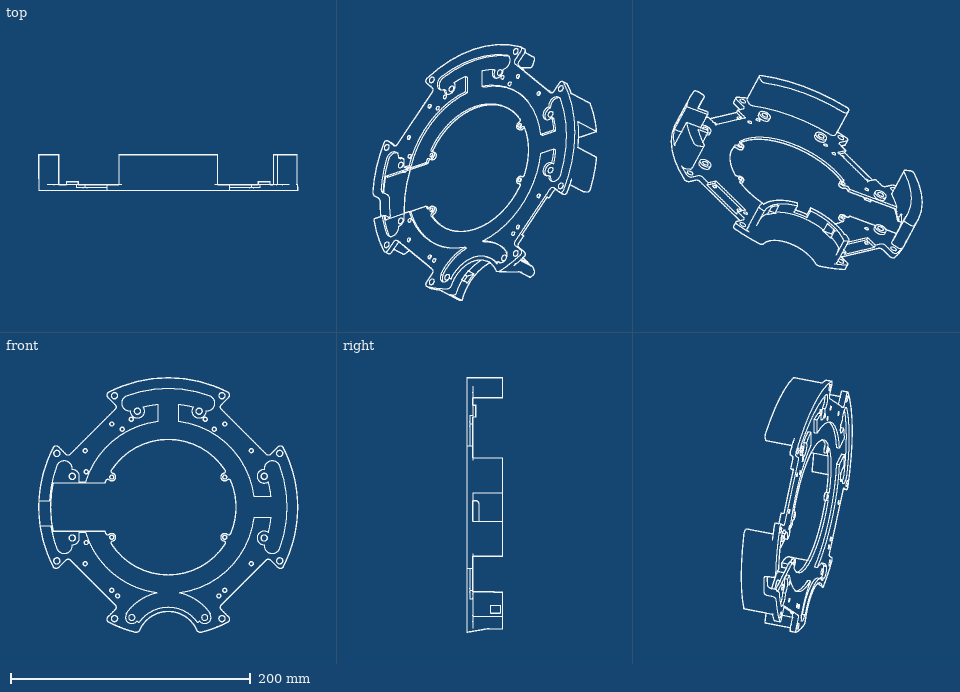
import cadquery as cq
import math

OUTER_RADIUS = 108.0
BORE_RADIUS = 56.4
PLATE_THICKNESS = 5.0
TOTAL_DEPTH = 30.0
EPS = 1.0
DIAGONALS = (45, 135, 225, 315)

CORNER_DISTANCE = 89.0
CORNER_HALF_LENGTH = 29.1
CORNER_FILLET = 2.75

REBATE_HALF_LENGTH = 19.0
REBATE_WIDTH = 10.0
REBATE_DEPTH = 2.5

TAB_X = 47.1
TAB_Z = 25.1
TAB_RADIUS = 3.3
TAB_FILLET = 1.5

SLOT_HALF_WIDTH = 20.0

POCKET_DEPTH = 2.5
POCKET_RING_RADIUS = 72.0
BAND_INNER_RADIUS = 86.0
BAND_OUTER_RADIUS = 99.0
BAND_HALF_ANGLE = 20.4
ARM_HALF_WIDTH = 8.75
SLOT_ARM_HALF_WIDTH = 21.1
BOLT_RECESS_RADIUS = 5.8
CRADLE_BAND_INNER_RADIUS = 29.6
CRADLE_CAP_RADIUS = 5.1

WALL_INNER_RADIUS = 98.0
WALL_HALF_ANGLE = 22.9
WALL_END_FILLET = 3.0
SIDE_GAP_HALF_WIDTH = 11.8
RAIL_INNER_X = 87.7
RAIL_WIDTH = 4.2
RAIL_FILLET = 1.5

NOTCH_CENTRE_Z = -5.15
NOTCH_WIDTH = 20.9
NOTCH_DEPTH = 10.2
NOTCH_FILLET = 3.0

CRADLE_CENTRE_Z = -113.0
CRADLE_RADIUS = 26.0
CRADLE_SEAT_RADIUS = 38.0
CRADLE_TAPER = 30.0
CRADLE_OUTER_RADIUS = 42.7
CRADLE_TIP_FILLET = 3.25
CRADLE_NOTCH_WIDTH = 12.0
CRADLE_NOTCH_DEPTH = 7.2
WINDOW_CENTRE_Z = -85.2
WINDOW_HEIGHT = 6.2
WINDOW_FRONT = 20.0
WINDOW_DEPTH = 8.0

BOLT_HOLE = 5.0
SMALL_HOLE = 3.2
TAB_HOLE = 3.2
BOSS_DIAMETER = 10.0
BOSS_HEIGHT = 2.5
CRADLE_HOLE_DEPTH = 12.0
EAR_SHORT = 44.8
EAR_LONG = 92.9
BOLT_SHORT = 25.7
BOLT_LONG = 80.0
BOARD_SHORT = 47.1
BOARD_LONG = 69.3
TOP_INNER_HOLE = (38.4, 65.0)
TOP_UPPER_HOLE = (30.8, 73.2)
BOTTOM_HOLE = (42.2, -74.0)
SLOT_SIDE_HOLE_X = -68.4
SLOT_SIDE_HOLE_Z = 29.5
CRADLE_HOLE_X = 30.4
CRADLE_HOLE_Z = -92.0


def mirrored_x(x, z):
    return [(x, z), (-x, z)]


def four_way(x, z):
    return mirrored_x(x, z) + mirrored_x(x, -z)


EAR_HOLES = four_way(EAR_SHORT, EAR_LONG) + four_way(EAR_LONG, EAR_SHORT)
TAB_HOLES = four_way(TAB_X, TAB_Z)
BOLT_HOLES = mirrored_x(BOLT_SHORT, BOLT_LONG) + four_way(BOLT_LONG, BOLT_SHORT)
CRADLE_HOLES = mirrored_x(CRADLE_HOLE_X, CRADLE_HOLE_Z)
SMALL_HOLES = (
    four_way(BOARD_SHORT, BOARD_LONG)
    + four_way(BOARD_LONG, BOARD_SHORT)
    + mirrored_x(*TOP_INNER_HOLE)
    + mirrored_x(*TOP_UPPER_HOLE)
    + mirrored_x(*BOTTOM_HOLE)
    + [(SLOT_SIDE_HOLE_X, SLOT_SIDE_HOLE_Z), (SLOT_SIDE_HOLE_X, -SLOT_SIDE_HOLE_Z)]
)


def at_depth(y):
    """Sketch plane parallel to the front face, with local axes X and Z."""
    return cq.Workplane("XZ", origin=(0, y, 0))


def discs(points, radius, front, back):
    return at_depth(front).pushPoints(points).circle(radius).extrude(front - back)


def block(x_min, x_max, z_min, z_max, front, back):
    size = (x_max - x_min, back - front, z_max - z_min)
    return cq.Workplane("XY").box(*size, centered=False).translate((x_min, front, z_min))


def polar(radius, angle):
    """Point in the ring plane, with the angle in degrees from +X towards +Z."""
    return (radius * math.cos(math.radians(angle)), radius * math.sin(math.radians(angle)))


def plate_blank():
    """Disc with four straight diagonal recesses and rounded corners."""
    half_step = 360 / len(DIAGONALS) / 2
    ear_angle = math.degrees(math.asin(CORNER_HALF_LENGTH / OUTER_RADIUS))
    root_radius = math.hypot(CORNER_DISTANCE, CORNER_HALF_LENGTH)
    root_angle = math.degrees(math.atan(CORNER_HALF_LENGTH / CORNER_DISTANCE))
    outline = at_depth(0).moveTo(*polar(OUTER_RADIUS, DIAGONALS[-1] + ear_angle))
    for diagonal in DIAGONALS:
        outline = (
            outline.threePointArc(
                polar(OUTER_RADIUS, diagonal - half_step), polar(OUTER_RADIUS, diagonal - ear_angle)
            )
            .lineTo(*polar(root_radius, diagonal - root_angle))
            .lineTo(*polar(root_radius, diagonal + root_angle))
            .lineTo(*polar(OUTER_RADIUS, diagonal + ear_angle))
        )
    return outline.close().extrude(-PLATE_THICKNESS).edges("|Y").fillet(CORNER_FILLET)


def add_bore(plate):
    """Bore with four screw tabs blended into its edge."""
    plate = plate.cut(discs([(0, 0)], BORE_RADIUS, -EPS, PLATE_THICKNESS + EPS))
    plate = plate.union(discs(TAB_HOLES, TAB_RADIUS, 0, PLATE_THICKNESS))
    reach = 2 * TAB_RADIUS
    for x, z in TAB_HOLES:
        corner = (x - reach, -EPS, z - reach)
        opposite = (x + reach, PLATE_THICKNESS + EPS, z + reach)
        plate = plate.edges(cq.selectors.BoxSelector(corner, opposite)).edges("|Y").fillet(TAB_FILLET)
    return plate


def slot_cutter():
    box = block(-OUTER_RADIUS, 0, -SLOT_HALF_WIDTH, SLOT_HALF_WIDTH, -EPS, PLATE_THICKNESS)
    return box.intersect(discs([(0, 0)], WALL_INNER_RADIUS, -EPS, PLATE_THICKNESS))


def rebate_cutters():
    """Rebates on the back of the four diagonal edges."""
    front = PLATE_THICKNESS - REBATE_DEPTH
    inner = CORNER_DISTANCE - REBATE_WIDTH
    outer = CORNER_DISTANCE + EPS
    bar = block(inner, outer, -REBATE_HALF_LENGTH, REBATE_HALF_LENGTH, front, PLATE_THICKNESS + EPS)
    cutters = cq.Workplane("XY")
    for diagonal in DIAGONALS:
        cutters = cutters.add(bar.rotate((0, 0, 0), (0, 1, 0), diagonal))
    return cutters.combine()


def arc_sector(inner, outer, direction, half_angle, front, back):
    """Piece of a ring centred on a direction given as an angle in degrees."""
    start = direction - half_angle
    end = direction + half_angle
    return (
        at_depth(front)
        .moveTo(*polar(inner, start))
        .threePointArc(polar(inner, direction), polar(inner, end))
        .lineTo(*polar(outer, end))
        .threePointArc(polar(outer, direction), polar(outer, start))
        .close()
        .extrude(front - back)
    )


def band_pocket(direction):
    """Round-ended arc pocket centred on a direction given as an angle in degrees."""
    inner = BAND_INNER_RADIUS
    outer = BAND_OUTER_RADIUS
    sector = arc_sector(inner, outer, direction, BAND_HALF_ANGLE, -EPS, POCKET_DEPTH)
    middle = (inner + outer) / 2
    ends = [polar(middle, direction - BAND_HALF_ANGLE), polar(middle, direction + BAND_HALF_ANGLE)]
    return sector.union(discs(ends, (outer - inner) / 2, -EPS, POCKET_DEPTH))


def cradle_pocket():
    """Arc pocket that follows the cradle and ends round its two blind holes."""
    centre = (0, CRADLE_CENTRE_Z)
    x, z = CRADLE_HOLE_X, CRADLE_HOLE_Z
    spread = CRADLE_OUTER_RADIUS / math.hypot(x, z - CRADLE_CENTRE_Z)
    far_x = spread * x
    far_z = CRADLE_CENTRE_Z + spread * (z - CRADLE_CENTRE_Z)
    sector = (
        at_depth(-EPS)
        .polyline([centre, (far_x, far_z), (far_x, 0), (-far_x, 0), (-far_x, far_z)])
        .close()
        .extrude(-EPS - POCKET_DEPTH)
    )
    band = discs([centre], CRADLE_OUTER_RADIUS, -EPS, POCKET_DEPTH).intersect(sector)
    caps = discs(CRADLE_HOLES, CRADLE_CAP_RADIUS, -EPS, POCKET_DEPTH)
    core = discs([centre], CRADLE_BAND_INNER_RADIUS, -EPS, POCKET_DEPTH)
    return band.union(caps).cut(core)


def pocket_cutter():
    """Front recess: inner ring, three arms, three arc bands and the cradle band."""
    arm_reach = (BAND_INNER_RADIUS + BAND_OUTER_RADIUS) / 2
    half = ARM_HALF_WIDTH
    pocket = discs([(0, 0)], POCKET_RING_RADIUS, -EPS, POCKET_DEPTH)
    pocket = pocket.union(block(0, arm_reach, -half, half, -EPS, POCKET_DEPTH))
    pocket = pocket.union(block(-half, half, 0, arm_reach, -EPS, POCKET_DEPTH))
    half = SLOT_ARM_HALF_WIDTH
    pocket = pocket.union(block(-BOLT_LONG, 0, -half, half, -EPS, POCKET_DEPTH))
    flank_x = BOLT_RECESS_RADIUS - BOLT_LONG
    pocket = pocket.union(block(-arm_reach, flank_x, -BOLT_SHORT, BOLT_SHORT, -EPS, POCKET_DEPTH))
    for direction in (0, 90, 180):
        pocket = pocket.union(band_pocket(direction))
    pocket = pocket.union(discs(BOLT_HOLES, BOLT_RECESS_RADIUS, -EPS, POCKET_DEPTH))
    return pocket.union(cradle_pocket())


def curved_wall(direction):
    """Tall arc wall with rounded ends, centred on a direction given in degrees."""
    wall = arc_sector(
        WALL_INNER_RADIUS, OUTER_RADIUS, direction, WALL_HALF_ANGLE, PLATE_THICKNESS, TOTAL_DEPTH
    )
    return wall.edges("|Y").fillet(WALL_END_FILLET)


def split_side_wall():
    """The +X wall, parted by a gap that has an inward rail on each side."""
    gap = SIDE_GAP_HALF_WIDTH
    opening = block(0, OUTER_RADIUS + EPS, -gap, gap, PLATE_THICKNESS, TOTAL_DEPTH)
    return curved_wall(0).cut(opening).union(side_rails())


def side_rails():
    """Inward rails on both sides of the gap in the +X wall."""
    inner = SIDE_GAP_HALF_WIDTH
    outer_x = (WALL_INNER_RADIUS + OUTER_RADIUS) / 2
    rail = block(RAIL_INNER_X, outer_x, inner, inner + RAIL_WIDTH, PLATE_THICKNESS, TOTAL_DEPTH)
    rail = rail.edges("|Y and <X").fillet(RAIL_FILLET)
    return rail.union(rail.mirror("XY"))


def cradle_wall():
    """Tall wall round the cradle, with a crown notch at the back and a window along X."""
    middle = (WALL_INNER_RADIUS + OUTER_RADIUS) / 2
    wall = discs([(0, CRADLE_CENTRE_Z)], CRADLE_OUTER_RADIUS, PLATE_THICKNESS, TOTAL_DEPTH)
    wall = wall.intersect(discs([(0, 0)], middle, PLATE_THICKNESS, TOTAL_DEPTH))
    wall = wall.union(curved_wall(270))
    half = CRADLE_NOTCH_WIDTH / 2
    front = TOTAL_DEPTH - CRADLE_NOTCH_DEPTH
    wall = wall.cut(block(-half, half, CRADLE_CENTRE_Z, 0, front, TOTAL_DEPTH))
    low = WINDOW_CENTRE_Z - WINDOW_HEIGHT / 2
    high = WINDOW_CENTRE_Z + WINDOW_HEIGHT / 2
    reach = CRADLE_OUTER_RADIUS + EPS
    return wall.cut(block(-reach, reach, low, high, WINDOW_FRONT, WINDOW_FRONT + WINDOW_DEPTH))


def cradle_cutter():
    """Seat that opens as a cone from the front and runs straight at the back."""
    cone_depth = (CRADLE_SEAT_RADIUS - CRADLE_RADIUS) / math.tan(math.radians(CRADLE_TAPER))
    profile = [
        (0, 0),
        (CRADLE_RADIUS, 0),
        (CRADLE_SEAT_RADIUS, cone_depth),
        (CRADLE_SEAT_RADIUS, TOTAL_DEPTH + EPS),
        (0, TOTAL_DEPTH + EPS),
    ]
    seat = cq.Workplane("XY").polyline(profile).close().revolve(360, (0, 0), (0, 1))
    return seat.translate((0, 0, CRADLE_CENTRE_Z))


def round_cradle_tips(body):
    """Round the two edges where the tapered seat runs out of the rim."""
    reach = OUTER_RADIUS
    low = -OUTER_RADIUS * math.cos(math.radians(WALL_HALF_ANGLE))
    tips = cq.selectors.BoxSelector((-reach, -EPS, -reach), (reach, TOTAL_DEPTH + EPS, low))
    edges = body.edges("%BSPLINE").edges(tips)
    return edges.fillet(CRADLE_TIP_FILLET)


def wall_notch_cutter():
    """Notch in the front of the -X wall, rounded at its floor and flared at its mouth."""
    half = NOTCH_WIDTH / 2
    r = NOTCH_FILLET
    flare = half + r
    bend = r * (1 - math.sqrt(0.5))
    sketch = (
        cq.Workplane("YZ", origin=(-OUTER_RADIUS - EPS, 0, NOTCH_CENTRE_Z))
        .moveTo(0, flare)
        .threePointArc((bend, half + bend), (r, half))
        .lineTo(NOTCH_DEPTH - r, half)
        .threePointArc((NOTCH_DEPTH - bend, half - bend), (NOTCH_DEPTH, half - r))
        .lineTo(NOTCH_DEPTH, r - half)
        .threePointArc((NOTCH_DEPTH - bend, bend - half), (NOTCH_DEPTH - r, -half))
        .lineTo(r, -half)
        .threePointArc((bend, -half - bend), (0, -flare))
        .close()
    )
    return sketch.extrude(OUTER_RADIUS - BOLT_LONG)


plate = add_bore(plate_blank())
plate = plate.cut(slot_cutter()).cut(rebate_cutters()).cut(pocket_cutter())

walls = curved_wall(90).union(curved_wall(180)).union(split_side_wall()).union(cradle_wall())

body = plate.union(walls)
body = body.union(discs(BOLT_HOLES, BOSS_DIAMETER / 2, POCKET_DEPTH, PLATE_THICKNESS + BOSS_HEIGHT))
body = round_cradle_tips(body.cut(cradle_cutter())).cut(wall_notch_cutter())
body = body.cut(discs(EAR_HOLES + BOLT_HOLES, BOLT_HOLE / 2, -EPS, TOTAL_DEPTH))
body = body.cut(discs(SMALL_HOLES, SMALL_HOLE / 2, -EPS, TOTAL_DEPTH))
body = body.cut(discs(TAB_HOLES, TAB_HOLE / 2, -EPS, TOTAL_DEPTH))
result = body.cut(discs(CRADLE_HOLES, BOLT_HOLE / 2, -EPS, CRADLE_HOLE_DEPTH))